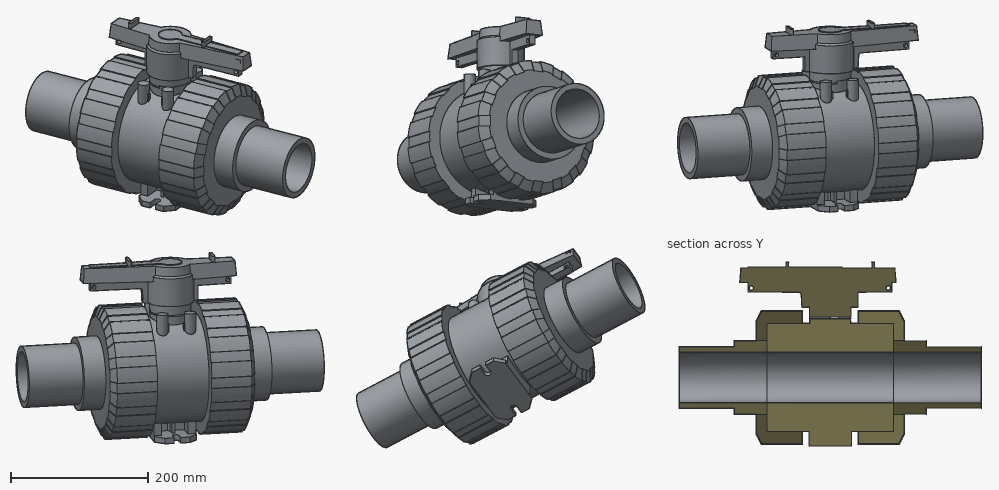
import cadquery as cq
import math


overall_length = 441.0
bore_radius = 36.5
pipe_radius = 45.0
collar_radius = 54.0
collar_end_x = 140.2

body_radius = 79.5
body_half_length = 92.5
neck_radius = 30.0
neck_top_z = 86.0
stop_top_z = 90.5

pin_radius = 8.5
pin_x = 20.7
pin_y = 40.0
pin_top_z = 93.5
pin_rib_width = 5.5
pin_rib_reach = 1.5
pin_rib_top_z = 78.0

foot_bottom_z = -100.0
foot_plate_thickness = 8.5
foot_half_x = 31.5
foot_half_y = 49.0
foot_corner = 13.0
foot_slot_radius = 5.0
foot_slot_center_y = 36.0
foot_wall_thickness = 11.5
foot_post_x = 11.5
foot_post_half_y = 31.0
foot_boss_radius = 8.0
foot_fin_thickness = 4.0
foot_fin_half_y = 22.0

nut_inner_x = 40.5
nut_outer_x = 108.0
nut_bevel_x = 100.5
nut_span_over_groove_edges = 196.0
nut_face_radius = 83.5
groove_count = 16
groove_width = 15.5
groove_depth = 1.8
nut_radius = math.hypot(nut_span_over_groove_edges / 2, groove_width / 2)

skirt_radius = 30.5
skirt_bottom_z = 88.0
hub_radius = 34.5
hub_bottom_z = 102.5
hub_shoulder_low_z = 144.0
hub_shoulder_high_z = 147.0
hub_cap_base_radius = 31.8
hub_cap_top_radius = 30.5

lever_top_z = 160.0
lever_middle_bottom_z = 137.0
lever_end_bottom_z = 138.5
short_arm = 96.0
long_arm = 132.5
arm_end_draft = 1.8
lever_half_width = 20.7
arm_narrowing = 0.068
lever_side_draft = 7.0

badge_radius = 17.0
badge_height = 1.5
strip_half_width = 7.5
strip_end_x = 120.5

tip_block_start_x = 119.0
tip_block_end_x = 127.0
tip_block_reach = 10.5
tip_block_top_z = 154.5

tab_x = 62.5
tab_thickness = 4.5
tab_width = 24.0
tab_top_z = 168.5
tab_edge_radius = 1.8

rib_thickness = 9.5
rib_left_x = -90.0
rib_right_x = 120.5
rib_end_z = 125.0
rib_middle_z = 124.0
web_left_x = -40.5
web_right_bottom_x = 41.5
web_right_top_x = 42.8
web_fillet = 4.0
rib_hole_radius = 3.0
rib_hole_z = 130.5
rib_hole_margin = 5.5


def box(x_range, y_range, z_range):
    """Axis-aligned block between pairs of limits."""
    (x0, x1), (y0, y1), (z0, z1) = x_range, y_range, z_range
    size = (x1 - x0, y1 - y0, z1 - z0)
    return cq.Workplane("XY").box(*size, centered=False).translate((x0, y0, z0))


def pipe_cylinder(radius, x0, x1):
    """Cylinder along the pipe axis."""
    return cq.Workplane("YZ", origin=(x0, 0, 0)).circle(radius).extrude(x1 - x0)


def upright_cylinder(radius, z0, z1, x=0.0, y=0.0):
    """Cylinder along Z."""
    return cq.Workplane("XY", origin=(x, y, z0)).circle(radius).extrude(z1 - z0)


def side_plate(points, thickness):
    """Outline in the XZ plane, extruded evenly to both sides of y = 0."""
    return cq.Workplane("XZ").polyline(points).close().extrude(thickness / 2, both=True)


def stop_sector(z0, z1):
    """Quarter block in the +X -Y quadrant, shared by the neck stop and its recess."""
    return box((0, hub_radius), (-hub_radius, 0), (z0, z1))


def make_pin(side_x, side_y):
    """Round pin with foot ribs facing the two centre planes of the body."""
    x = side_x * pin_x
    y = side_y * pin_y
    reach = pin_radius + pin_rib_reach
    half_rib = pin_rib_width / 2
    rib_z = (0, pin_rib_top_z)
    rib_along_x = box(sorted((x, x - side_x * reach)), (y - half_rib, y + half_rib), rib_z)
    rib_along_y = box((x - half_rib, x + half_rib), sorted((y, y - side_y * reach)), rib_z)
    return upright_cylinder(pin_radius, 0, pin_top_z, x, y).union(rib_along_x).union(rib_along_y)


def make_foot():
    """Slotted base plate joined to the body by an I-shaped wall, a boss and a fin."""
    plate_top_z = foot_bottom_z + foot_plate_thickness
    plate_z = (foot_bottom_z, plate_top_z)
    wall_z = (foot_bottom_z, 0)
    half_wall = foot_wall_thickness / 2
    half_fin = foot_fin_thickness / 2

    plate = box((-foot_half_x, foot_half_x), (-foot_half_y, foot_half_y), plate_z)
    plate = plate.edges("|Z").chamfer(foot_corner)

    wall = box((-foot_half_x, foot_half_x), (-half_wall, half_wall), wall_z)
    boss = upright_cylinder(foot_boss_radius, foot_bottom_z, 0)
    fin = box((-half_fin, half_fin), (-foot_fin_half_y, foot_fin_half_y), wall_z)
    foot = plate.union(wall).union(boss).union(fin)
    for x0 in (-foot_half_x, foot_half_x - foot_post_x):
        post = box((x0, x0 + foot_post_x), (-foot_post_half_y, foot_post_half_y), wall_z)
        foot = foot.union(post)

    for side in (-1, 1):
        slot_y = side * foot_slot_center_y
        slot_mouth = sorted((slot_y, side * foot_half_y))
        slot = upright_cylinder(foot_slot_radius, foot_bottom_z, plate_top_z, 0, slot_y)
        slot = slot.union(box((-foot_slot_radius, foot_slot_radius), slot_mouth, plate_z))
        foot = foot.cut(slot)
    return foot


def make_body():
    """Valve body with the stem neck, rotation stop, pins and foot."""
    body = pipe_cylinder(body_radius, -body_half_length, body_half_length)
    stop = upright_cylinder(neck_radius, 0, stop_top_z).intersect(stop_sector(0, stop_top_z))
    body = body.union(upright_cylinder(neck_radius, 0, neck_top_z)).union(stop)
    for side_x in (-1, 1):
        for side_y in (-1, 1):
            body = body.union(make_pin(side_x, side_y))
    body = body.union(make_foot())
    return body.cut(pipe_cylinder(bore_radius, -body_half_length, body_half_length))


def nut_blank(inset):
    """Solid nut on the +X side with its outer surface moved inward by the inset."""
    outline = [
        (nut_inner_x, 0),
        (nut_inner_x, nut_radius - inset),
        (nut_bevel_x, nut_radius - inset),
        (nut_outer_x, nut_face_radius - inset),
        (nut_outer_x, 0),
    ]
    return cq.Workplane("XY").polyline(outline).close().revolve(360, (0, 0, 0), (1, 0, 0))


def make_nut():
    """Grooved union nut on the +X side."""
    half_groove = groove_width / 2
    teeth = nut_blank(0)
    for index in range(groove_count):
        groove = box((nut_inner_x, nut_outer_x), (-half_groove, half_groove), (body_radius, nut_radius))
        teeth = teeth.cut(groove.rotate((0, 0, 0), (1, 0, 0), index * 360 / groove_count))
    nut = teeth.union(nut_blank(groove_depth))
    nut = nut.cut(pipe_cylinder(body_radius, nut_inner_x, body_half_length))
    return nut.cut(pipe_cylinder(collar_radius, body_half_length, nut_outer_x))


def make_end_connector():
    """Stepped pipe end on the +X side, butting against the body."""
    end_x = overall_length / 2
    connector = pipe_cylinder(collar_radius, body_half_length, collar_end_x)
    connector = connector.union(pipe_cylinder(pipe_radius, collar_end_x, end_x))
    return connector.cut(pipe_cylinder(bore_radius, body_half_length, end_x))


def make_hub():
    """Handle hub with its skirt, and the recess that clears the rotation stop."""
    outline = [
        (0, skirt_bottom_z),
        (skirt_radius, skirt_bottom_z),
        (skirt_radius, hub_bottom_z),
        (hub_radius, hub_bottom_z),
        (hub_radius, hub_shoulder_low_z),
        (hub_cap_base_radius, hub_shoulder_high_z),
        (hub_cap_top_radius, lever_top_z),
        (0, lever_top_z),
    ]
    hub = cq.Workplane("XZ").polyline(outline).close().revolve(360, (0, 0, 0), (0, 1, 0))
    return hub.cut(stop_sector(skirt_bottom_z, stop_top_z))


def make_lever():
    """Two tapering arms with drafted sides and a slightly sloping underside."""
    short_half_width = lever_half_width - arm_narrowing * short_arm
    long_half_width = lever_half_width - arm_narrowing * long_arm
    plan = [
        (-short_arm, -short_half_width),
        (0, -lever_half_width),
        (long_arm, -long_half_width),
        (long_arm, long_half_width),
        (0, lever_half_width),
        (-short_arm, short_half_width),
    ]
    profile = [
        (-short_arm, lever_end_bottom_z),
        (0, lever_middle_bottom_z),
        (long_arm, lever_end_bottom_z),
        (long_arm - arm_end_draft, lever_top_z),
        (arm_end_draft - short_arm, lever_top_z),
    ]
    height = lever_top_z - lever_middle_bottom_z
    side_inset = height * math.tan(math.radians(lever_side_draft))
    top_plan = [(x, y - math.copysign(side_inset, y)) for x, y in plan]
    arms = cq.Workplane("XY", origin=(0, 0, lever_middle_bottom_z)).polyline(plan).close()
    arms = arms.workplane(offset=height).polyline(top_plan).close().loft(ruled=True)
    return arms.intersect(side_plate(profile, 2 * lever_half_width))


def make_badge():
    """Raised round boss and strip running along the long arm."""
    badge_z = (lever_top_z, lever_top_z + badge_height)
    strip = box((0, strip_end_x), (-strip_half_width, strip_half_width), badge_z)
    return upright_cylinder(badge_radius, *badge_z).union(strip)


def make_tab(x):
    """Upright tab with rounded vertical edges."""
    tab = cq.Workplane("XY", origin=(x, 0, lever_end_bottom_z)).rect(tab_thickness, tab_width)
    return tab.extrude(tab_top_z - lever_end_bottom_z).edges("|Z").fillet(tab_edge_radius)


def make_rib():
    """Rib below the lever, deeper around the hub, with a small hole near each end."""
    beam = side_plate(
        [
            (rib_left_x, lever_end_bottom_z),
            (rib_left_x, rib_end_z),
            (0, rib_middle_z),
            (rib_right_x, rib_end_z),
            (rib_right_x, lever_end_bottom_z),
        ],
        rib_thickness,
    )
    web = side_plate(
        [
            (web_left_x, hub_bottom_z),
            (web_right_bottom_x, hub_bottom_z),
            (web_right_top_x, rib_end_z),
            (web_right_top_x, lever_middle_bottom_z),
            (web_left_x, lever_middle_bottom_z),
        ],
        rib_thickness,
    )
    rib = beam.union(web)
    inner_corner = cq.selectors.NearestToPointSelector((web_right_top_x, 0, rib_middle_z))
    rib = rib.edges("|Y").edges(inner_corner).fillet(web_fillet)
    for x in (rib_left_x + rib_hole_margin, rib_right_x - rib_hole_margin):
        hole = cq.Workplane("XZ", origin=(x, 0, rib_hole_z)).circle(rib_hole_radius)
        rib = rib.cut(hole.extrude(rib_thickness, both=True))
    return rib


def make_handle():
    """Hub, lever, rib, badge, tabs and tip block as one piece."""
    tip_block = box(
        (tip_block_start_x, tip_block_end_x),
        (-tip_block_reach, 0),
        (lever_end_bottom_z, tip_block_top_z),
    )
    handle = make_hub().union(make_lever()).union(make_rib())
    handle = handle.union(make_badge()).union(tip_block)
    for x in (-tab_x, tab_x):
        handle = handle.union(make_tab(x))
    return handle


body = make_body()
handle = make_handle()
nuts = [make_nut().rotate((0, 0, 0), (0, 0, 1), angle) for angle in (0, 180)]
end_connectors = [make_end_connector().rotate((0, 0, 0), (0, 0, 1), angle) for angle in (0, 180)]

result = cq.Compound.makeCompound(
    [
        body.val(),
        handle.val(),
        *[nut.val() for nut in nuts],
        *[connector.val() for connector in end_connectors],
    ]
)